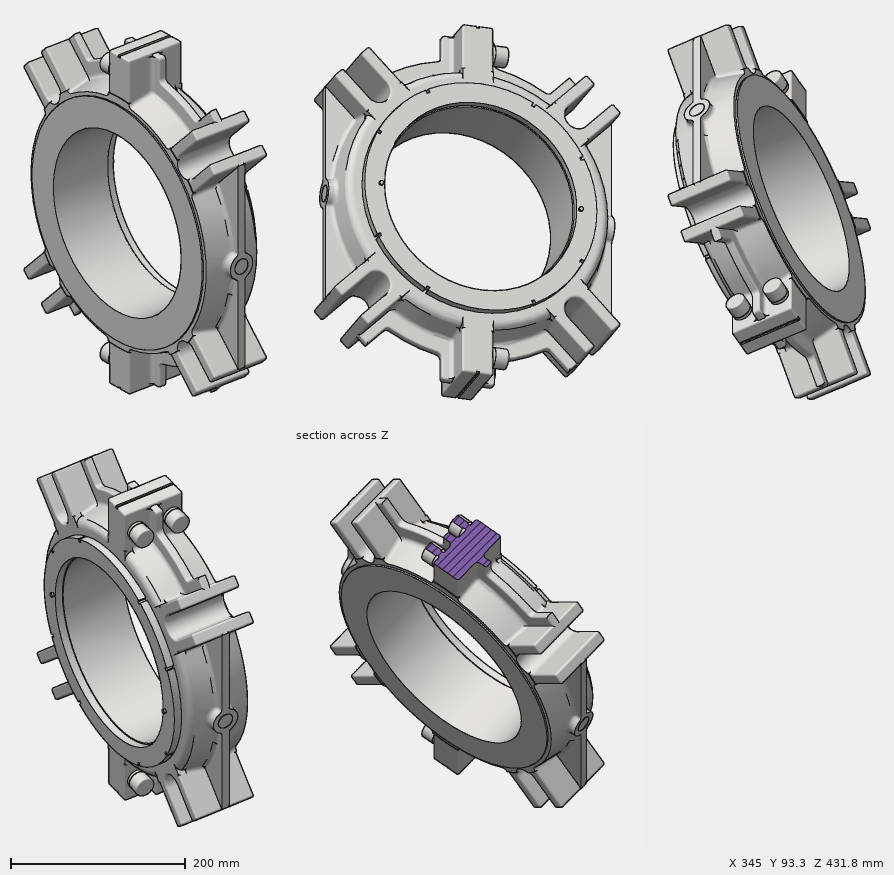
import cadquery as cq
import math

HALF_WIDTH = 172.5
HALF_HEIGHT = 215.885
HALF_DEPTH = 39.0
FRONT_Y = -41.7
REAR_Y = 48.7
PIN_TIP_Y = 51.62

BORE_RADIUS = 228.6 / 2
REAR_BORE_RADIUS = 231.78 / 2
REAR_BORE_START_Y = 39.0
FRONT_FACE_RADIUS = 304.8 / 2
FRONT_SHOULDER_Y = -39.6
BODY_END_RADIUS = 157.0
BODY_MID_RADIUS = 165.5
DRAFT = (BODY_MID_RADIUS - BODY_END_RADIUS) / -FRONT_SHOULDER_Y
REAR_ROUND = 10.0
COLLAR_RADIUS = 140.0

WEB_HALF_THICKNESS = 5.0
RIB_RADIUS = 184.5
RIB_EDGE_ROUND = 2.0
OUTLINE_CORNER_ROUND = 6.0
POCKET_ROUND = 5.0

SLOT_HALF_WIDTH = 15.0
SLOT_CENTRE = 170.0
ARM_PLATE_OUTER = 29.4
ARM_RIB_OUTER = 42.5
ARM_TIP = 215.0
DIAGONALS = (45, 135, 225, 315)

BLOCK_HALF_WIDTH = 18.5
FLANGE_HALF_WIDTH = 32.0
FLANGE_TOP = 213.5
FLANGE_TIP_ROUND = 4.0
SPLIT_GROOVE_WIDTH = 3.5
SPLIT_GROOVE_DEPTH = 2.5
CAST_EDGE_ROUND = 2.5

HEAD_DIAMETER = 24.0
HEAD_END_X = -38.6
HEAD_END_ROUND = 1.5
SEAT_END_X = -22.6
SEAT_DIAMETER = 23.0
BOLT_Y = 24.0
BOLT_Z = 187.5

BOSS_RADIUS = 16.5
BOSS_RECESS_DIAMETER = 19.26
BOSS_RECESS_DEPTH = 0.5

NOTCH_ANGLE = 27.6
NOTCH_WIDTH = 3.5
NOTCH_DEPTH = 4.0
PIN_DIAMETER = 5.0
PIN_X = 120.4

REACH = 400.0
POCKET_END_Y = 60.0
INNER_EDGE_REACH = 290.0


def prism(points, y_from, y_to):
    """Extrude an (x, z) polygon from y_from to y_to."""
    plane = cq.Workplane("XZ", origin=(0, y_from, 0))
    return plane.polyline(points).close().extrude(y_from - y_to)


def box(x_from, x_to, y_from, y_to, z_from, z_to):
    size = (x_to - x_from, y_to - y_from, z_to - z_from)
    corner = cq.Workplane("XY", origin=(x_from, y_from, z_from))
    return corner.box(*size, centered=False)


def revolve_about_y(points):
    """Revolve a (radius, y) polygon about the Y axis."""
    return cq.Workplane("XY").polyline(points).close().revolve(360, (0, 0, 0), (0, 1, 0))


def disc(radius, y_from, y_to):
    return cq.Workplane("XZ", origin=(0, y_from, 0)).circle(radius).extrude(y_from - y_to)


def four_ways(shape):
    """The shape and its mirror images about X = 0 and Z = 0."""
    mirrored = shape.mirror("YZ")
    return [shape, mirrored, shape.mirror("XY"), mirrored.mirror("XY")]


def body_radius(y):
    return BODY_MID_RADIUS - DRAFT * abs(y)


def body(y_front, y_rear, growth=0.0):
    """Double cone, largest in the web plane, between two Y positions."""
    return revolve_about_y([
        (0, y_front),
        (body_radius(y_front) + growth, y_front),
        (BODY_MID_RADIUS + growth, 0),
        (body_radius(y_rear) + growth, y_rear),
        (0, y_rear),
    ])


def within_width(shape):
    return shape.intersect(box(-HALF_WIDTH, HALF_WIDTH, -REACH, REACH, -REACH, REACH))


def diagonal_bars(length, half_width, half_depth, edge_round=0.0):
    """Two crossing bars along the diagonals."""
    bar = box(-length, length, -half_depth, half_depth, -half_width, half_width)
    if edge_round:
        bar = bar.edges().fillet(edge_round)
    bars = [bar.rotate((0, 0, 0), (0, 1, 0), angle) for angle in DIAGONALS[:2]]
    return bars[0].union(bars[1])


def web():
    """Central rib around the ring, along the arms and through the clamp blocks."""
    y_from, y_to = -WEB_HALF_THICKNESS, WEB_HALF_THICKNESS
    outline = disc(RIB_RADIUS, y_from, y_to)
    outline = outline.union(diagonal_bars(ARM_TIP, ARM_RIB_OUTER, WEB_HALF_THICKNESS))
    flange = box(-FLANGE_HALF_WIDTH, FLANGE_HALF_WIDTH, y_from, y_to, -FLANGE_TOP, FLANGE_TOP)
    outline = outline.union(flange.edges("|Y").fillet(FLANGE_TIP_ROUND))

    def is_inner_corner(edge):
        centre = edge.Center()
        return abs(math.hypot(centre.x, centre.z) - RIB_RADIUS) < 1

    outline = outline.edges("|Y").filter(is_inner_corner).fillet(OUTLINE_CORNER_ROUND)
    outline = outline.faces("<Y or >Y").edges().fillet(RIB_EDGE_ROUND)
    corner_z = ARM_TIP * math.sqrt(2) - HALF_WIDTH
    return outline.union(box(-HALF_WIDTH, HALF_WIDTH, y_from, y_to, -corner_z, corner_z))


def arm_plates():
    return diagonal_bars(ARM_TIP, ARM_PLATE_OUTER, HALF_DEPTH, CAST_EDGE_ROUND)


def clamp_blocks():
    size = (2 * BLOCK_HALF_WIDTH, 2 * HALF_DEPTH, 2 * HALF_HEIGHT)
    return cq.Workplane("XY").box(*size).edges().fillet(CAST_EDGE_ROUND)


def fillet_stock():
    """Extra material from which the pockets leave their inner rounds."""
    depth = WEB_HALF_THICKNESS + POCKET_ROUND
    width = BLOCK_HALF_WIDTH + POCKET_ROUND
    stock = body(FRONT_SHOULDER_Y, HALF_DEPTH, POCKET_ROUND)
    stock = stock.union(disc(BODY_MID_RADIUS + POCKET_ROUND, -depth, depth))
    reach = ARM_TIP - CAST_EDGE_ROUND
    stock = stock.union(diagonal_bars(reach, ARM_PLATE_OUTER + POCKET_ROUND, depth))
    height = FLANGE_TOP - RIB_EDGE_ROUND
    stock = stock.union(box(-width, width, -depth, depth, -height, height))
    return stock.union(bosses(BOSS_RADIUS + POCKET_ROUND))


PLATE_OFFSET = ARM_PLATE_OUTER * math.sqrt(2)
INNER = 100.0
UPPER_REGION = [
    (BLOCK_HALF_WIDTH, INNER),
    (INNER - PLATE_OFFSET, INNER),
    (REACH - PLATE_OFFSET, REACH),
    (BLOCK_HALF_WIDTH, REACH),
]
SIDE_REGION = [
    (INNER, INNER - PLATE_OFFSET),
    (REACH, REACH - PLATE_OFFSET),
    (REACH, PLATE_OFFSET - REACH),
    (INNER, PLATE_OFFSET - INNER),
]


def bosses(radius):
    """Round bosses on both sides, ending flush with the flat sides."""
    return cq.Workplane("YZ").circle(radius).extrude(HALF_WIDTH, both=True)


def pocket(region, keep):
    """Space in front of the web over a plan region, with rounded inner edges."""
    space = prism(region, -POCKET_END_Y, -WEB_HALF_THICKNESS).cut(keep)

    def is_inner_edge(edge):
        centre = edge.Center()
        near_axis = math.hypot(centre.x, centre.z) < INNER_EDGE_REACH
        return near_axis and abs(centre.y) < POCKET_END_Y - 1

    return space.edges().filter(is_inner_edge).fillet(POCKET_ROUND)


def pockets():
    """All pockets in front of the web and behind it."""
    core = body(-POCKET_END_Y, POCKET_END_Y)
    upper = pocket(UPPER_REGION, core)
    long_bosses = cq.Workplane("YZ").circle(BOSS_RADIUS).extrude(REACH, both=True)
    side = pocket(SIDE_REGION, core.union(long_bosses))
    front = four_ways(upper) + [side, side.mirror("YZ")]
    return front + [shape.mirror("XZ") for shape in front]


def rear_round_cutters():
    """Material outside the rounded rear rim of the body, within the pockets."""
    rim_y = HALF_DEPTH
    start_y = rim_y - REAR_ROUND
    rim = body_radius(start_y)
    middle = math.sqrt(0.5) * REAR_ROUND
    profile = (
        cq.Workplane("XY")
        .moveTo(rim, start_y)
        .threePointArc((rim - REAR_ROUND + middle, start_y + middle), (rim - REAR_ROUND, rim_y))
        .lineTo(rim - REAR_ROUND, POCKET_END_Y)
        .lineTo(rim + REAR_ROUND, POCKET_END_Y)
        .lineTo(rim + REAR_ROUND, start_y)
        .close()
    )
    cutter = profile.revolve(360, (0, 0, 0), (0, 1, 0))
    upper = prism(UPPER_REGION, 0, POCKET_END_Y)
    side = prism(SIDE_REGION, 0, POCKET_END_Y)
    regions = four_ways(upper) + [side, side.mirror("YZ")]
    return [cutter.intersect(region) for region in regions]


def arm_slot():
    """Round-ended slot on the +X axis, open outwards."""
    straight = box(SLOT_CENTRE, REACH, -POCKET_END_Y, POCKET_END_Y, -SLOT_HALF_WIDTH, SLOT_HALF_WIDTH)
    round_end = disc(SLOT_HALF_WIDTH, -POCKET_END_Y, POCKET_END_Y).translate((SLOT_CENTRE, 0, 0))
    return straight.union(round_end)


def round_slot_rims(part):
    """Round the arm edges along the slots and across the tips."""

    def is_slot_rim(edge):
        centre = edge.Center()
        along = (abs(centre.x) + abs(centre.z)) / math.sqrt(2)
        lateral = abs(abs(centre.x) - abs(centre.z)) / math.sqrt(2)
        at_slot = abs(lateral - SLOT_HALF_WIDTH) < CAST_EDGE_ROUND / 2
        return edge.geomType() == "LINE" and at_slot and along > SLOT_CENTRE

    return part.edges().filter(is_slot_rim).fillet(CAST_EDGE_ROUND)


def casting():
    part = fillet_stock().union(web()).union(arm_plates()).union(clamp_blocks())
    part = within_width(part.union(bosses(BOSS_RADIUS)))
    for cutter in pockets() + rear_round_cutters():
        part = part.cut(cutter)
    for angle in DIAGONALS:
        part = part.cut(arm_slot().rotate((0, 0, 0), (0, 1, 0), angle))
    return round_slot_rims(part)


def ring_ends():
    """Front face ring and rear collar."""
    front = disc(FRONT_FACE_RADIUS, FRONT_Y, 0)
    collar = disc(COLLAR_RADIUS, 0, REAR_Y)
    notch = box(COLLAR_RADIUS - NOTCH_DEPTH, REACH, HALF_DEPTH, REAR_Y, -NOTCH_WIDTH / 2, NOTCH_WIDTH / 2)
    for diagonal in DIAGONALS:
        for offset in (DIAGONALS[0] - NOTCH_ANGLE, NOTCH_ANGLE - DIAGONALS[0]):
            collar = collar.cut(notch.rotate((0, 0, 0), (0, 1, 0), diagonal + offset))
    return front.union(collar)


def bore():
    through = disc(BORE_RADIUS, FRONT_Y, REAR_Y)
    return through.union(disc(REAR_BORE_RADIUS, REAR_BORE_START_Y, REAR_Y))


def split_grooves():
    """Shallow groove along each clamp block end."""
    half = SPLIT_GROOVE_WIDTH / 2
    top = box(-half, half, -HALF_DEPTH, HALF_DEPTH, HALF_HEIGHT - SPLIT_GROOVE_DEPTH, HALF_HEIGHT)
    return top.union(top.mirror("XY"))


def boss_recesses():
    recess = cq.Workplane("YZ", origin=(HALF_WIDTH, 0, 0)).circle(BOSS_RECESS_DIAMETER / 2)
    recess = recess.extrude(-BOSS_RECESS_DEPTH)
    return recess.union(recess.mirror("YZ"))


def bolt_heads():
    """Bolt heads on slightly smaller seats, in pairs on each clamp block."""
    seat = cq.Workplane("YZ", origin=(-BLOCK_HALF_WIDTH, 0, 0))
    places = [(y, z) for y in (-BOLT_Y, BOLT_Y) for z in (-BOLT_Z, BOLT_Z)]
    seats = seat.pushPoints(places).circle(SEAT_DIAMETER / 2).extrude(SEAT_END_X + BLOCK_HALF_WIDTH)
    head_seat = cq.Workplane("YZ", origin=(SEAT_END_X, 0, 0))
    head = head_seat.pushPoints(places).circle(HEAD_DIAMETER / 2).extrude(HEAD_END_X - SEAT_END_X)
    return seats.union(head.faces("<X").edges().fillet(HEAD_END_ROUND))


def locating_pins():
    plane = cq.Workplane("XZ", origin=(0, HALF_DEPTH, 0))
    pins = plane.pushPoints([(-PIN_X, 0), (PIN_X, 0)]).circle(PIN_DIAMETER / 2)
    return pins.extrude(HALF_DEPTH - PIN_TIP_Y)


result = casting().union(ring_ends()).cut(bore())
result = result.cut(split_grooves()).cut(boss_recesses())
result = result.union(bolt_heads()).union(locating_pins())